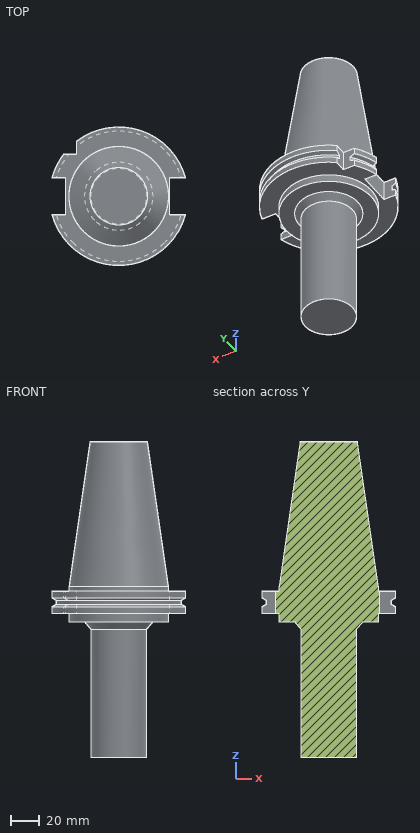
import cadquery as cq

total_height = 221.8
taper_length = 101.8
upper_collar_height = 3.0
flange_height = 15.7
lower_collar_height = 6.0
shoulder_height = 5.0
taper_base_z = total_height - taper_length
flange_top_z = taper_base_z - upper_collar_height
flange_bottom_z = flange_top_z - flange_height
lower_collar_bottom_z = flange_bottom_z - lower_collar_height
shoulder_bottom_z = lower_collar_bottom_z - shoulder_height

taper_tip_radius = 20.2
collar_radius = 70.0 / 2
taper_base_radius = 69.9 / 2
flange_radius = 97.3 / 2
shoulder_radius = 24.0
shank_radius = 39.0 / 2

groove_depth = 2.9
groove_width = 6.2
groove_flank_height = 1.8
groove_root_radius = flange_radius - groove_depth
groove_center_z = (flange_top_z + flange_bottom_z) / 2
groove_root_width = groove_width - 2 * groove_flank_height

slot_width = 25.7
left_slot_floor = 37.5
right_slot_floor = 35.7
notch_x = -29.7
notch_y = 29.5


def turned_body():
    """Revolve the taper, collars, grooved flange, conical shoulder and shank."""
    profile = [
        (0, 0),
        (shank_radius, 0),
        (shank_radius, shoulder_bottom_z),
        (shoulder_radius, lower_collar_bottom_z),
        (collar_radius, lower_collar_bottom_z),
        (collar_radius, flange_bottom_z),
        (flange_radius, flange_bottom_z),
        (flange_radius, groove_center_z - groove_width / 2),
        (groove_root_radius, groove_center_z - groove_root_width / 2),
        (groove_root_radius, groove_center_z + groove_root_width / 2),
        (flange_radius, groove_center_z + groove_width / 2),
        (flange_radius, flange_top_z),
        (collar_radius, flange_top_z),
        (collar_radius, taper_base_z),
        (taper_base_radius, taper_base_z),
        (taper_tip_radius, total_height),
        (0, total_height),
    ]
    return cq.Workplane("XZ").polyline(profile).close().revolve(360, (0, 0, 0), (0, 1, 0))


def flange_cutter(x_start, x_end, y_start, y_end):
    """Rectangular cutter spanning the full flange height."""
    return (
        cq.Workplane("XY")
        .workplane(offset=flange_bottom_z)
        .moveTo((x_start + x_end) / 2, (y_start + y_end) / 2)
        .rect(x_end - x_start, y_end - y_start)
        .extrude(flange_height)
    )


left_slot = flange_cutter(-flange_radius, -left_slot_floor, -slot_width / 2, slot_width / 2)
right_slot = flange_cutter(right_slot_floor, flange_radius, -slot_width / 2, slot_width / 2)
notch = flange_cutter(-flange_radius, notch_x, notch_y, flange_radius)

result = turned_body().cut(left_slot).cut(right_slot).cut(notch)